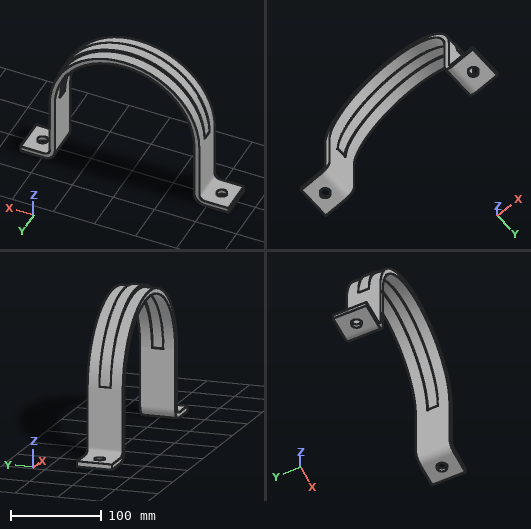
import cadquery as cq

length = 253.2
width = 41.3
thickness = 6.3
outer_radius = 91.2
inner_radius = outer_radius - thickness

bend_inner_radius = 6.5
bend_outer_radius = bend_inner_radius + thickness

overall_height = 175.0
rib_height = 2.5
rib_width = 13.2
arch_centre_z = overall_height - rib_height - outer_radius
groove_depth = 2.3

hole_diameter = 11.6
hole_spacing = 218.3


def build_strap():
    """Bent strip: two feet, two straight legs and a half-round arch."""
    outline = (
        cq.Workplane("XZ")
        .moveTo(-length / 2, 0)
        .lineTo(-inner_radius - bend_outer_radius, 0)
        .radiusArc((-inner_radius, bend_outer_radius), -bend_outer_radius)
        .lineTo(-inner_radius, arch_centre_z)
        .threePointArc((0, arch_centre_z + inner_radius), (inner_radius, arch_centre_z))
        .lineTo(inner_radius, bend_outer_radius)
        .radiusArc((inner_radius + bend_outer_radius, 0), -bend_outer_radius)
        .lineTo(length / 2, 0)
        .lineTo(length / 2, thickness)
        .lineTo(outer_radius + bend_inner_radius, thickness)
        .radiusArc((outer_radius, bend_outer_radius), bend_inner_radius)
        .lineTo(outer_radius, arch_centre_z)
        .threePointArc((0, arch_centre_z + outer_radius), (-outer_radius, arch_centre_z))
        .lineTo(-outer_radius, bend_outer_radius)
        .radiusArc((-outer_radius - bend_inner_radius, thickness), bend_inner_radius)
        .lineTo(-length / 2, thickness)
        .close()
    )
    return outline.extrude(width / 2, both=True)


def half_disc(radius, base_z):
    """Half-round slab as wide as the rib, with its flat side at base_z."""
    return (
        cq.Workplane("XZ")
        .moveTo(-radius, base_z)
        .threePointArc((0, base_z + radius), (radius, base_z))
        .close()
        .extrude(rib_width / 2, both=True)
    )


def build_rib():
    """Crescent rib: the outer arch raised by the rib height, fading out at the legs."""
    raised_arch = half_disc(outer_radius, arch_centre_z + rib_height)
    return raised_arch.cut(half_disc(inner_radius, arch_centre_z))


def build_groove():
    """Groove of even depth under the rib, ending on a ledge at the arch base."""
    return half_disc(inner_radius + groove_depth, arch_centre_z)


def build_holes():
    """One vertical hole through each foot."""
    return (
        cq.Workplane("XY")
        .pushPoints([(-hole_spacing / 2, 0), (hole_spacing / 2, 0)])
        .circle(hole_diameter / 2)
        .extrude(thickness)
    )


result = build_strap().union(build_rib()).cut(build_groove()).cut(build_holes())